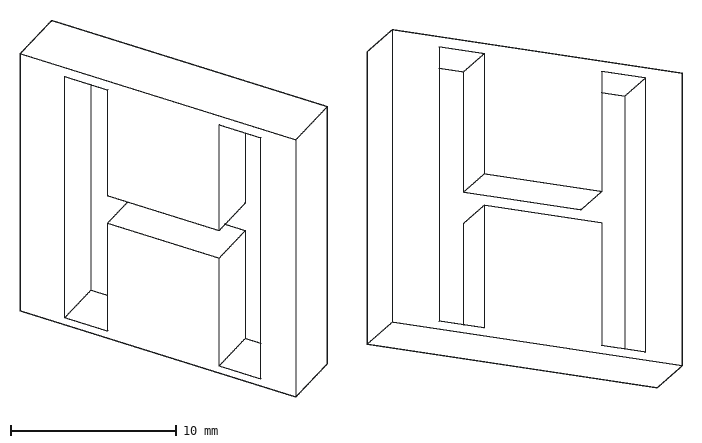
import cadquery as cq

side = 19.0
thickness = 4.0

pocket_depth = 3.3
left_leg_start = 3.08
left_leg_end = 6.02
right_leg_start = 13.72
right_leg_end = 16.59
leg_bottom = 0.53
leg_top = 18.34
bar_bottom = 8.5
bar_top = 10.53


def pocket_block(x_start, x_end, z_start, z_end):
    """Block reaching from the front face down to the pocket floor."""
    return cq.Workplane("XY").box(
        x_end - x_start, pocket_depth, z_end - z_start, centered=False
    ).translate((x_start, 0, z_start))


plate = cq.Workplane("XY").box(side, thickness, side, centered=False)

left_leg = pocket_block(left_leg_start, left_leg_end, leg_bottom, leg_top)
right_leg = pocket_block(right_leg_start, right_leg_end, leg_bottom, leg_top)
crossbar = pocket_block(left_leg_start, right_leg_end, bar_bottom, bar_top)

result = plate.cut(left_leg.union(right_leg).union(crossbar))